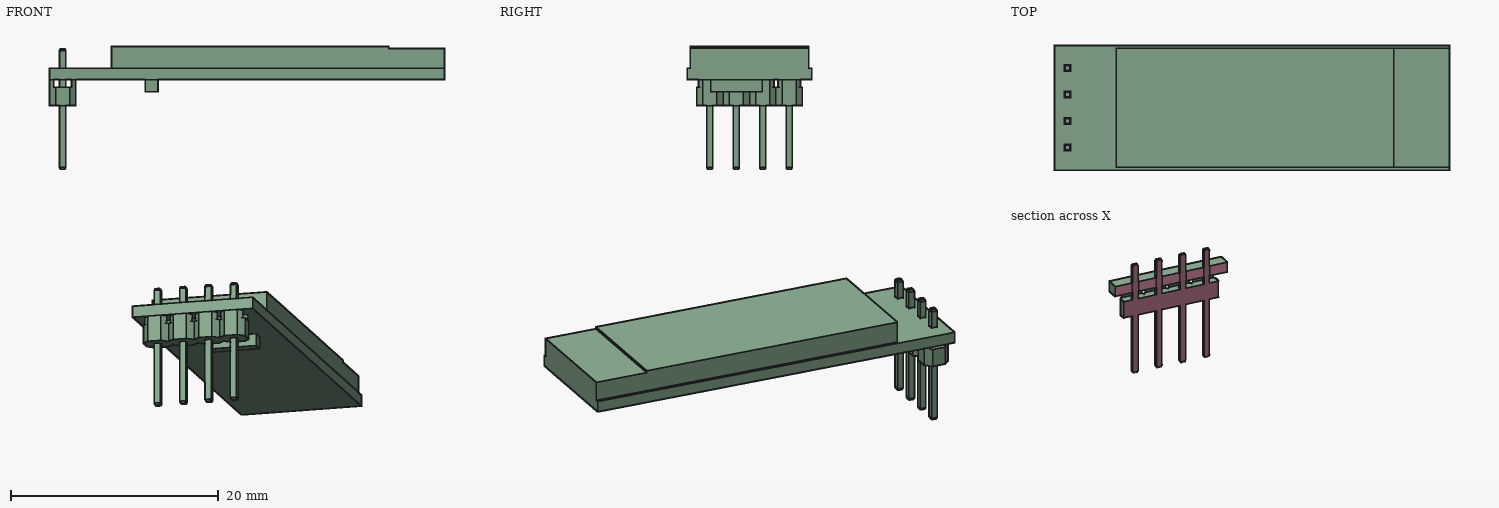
import cadquery as cq


BOARD_LENGTH = 38.0
BOARD_WIDTH = 12.0
BOARD_THICKNESS = 1.1

DISPLAY_START_X = 5.95
DISPLAY_STEP_X = 32.65
DISPLAY_WIDTH = 11.45
DISPLAY_HEIGHT = 2.1
DISPLAY_STEP_DEPTH = 0.2

COMPONENT_START_X = 9.2
COMPONENT_LENGTH = 1.25
COMPONENT_WIDTH = 4.95
COMPONENT_CENTER_Y = -1.25
COMPONENT_HEIGHT = 1.18

PIN_COUNT = 4
PITCH = 2.55
CELL_CORNER_CUT = 0.6
HEADER_HEIGHT = 2.5
CHANNEL_WIDTH = 1.67
CHANNEL_DEPTH = 0.72
HEADER_CENTER_X = PITCH / 2

PIN_SIDE = 0.6
PIN_TIP_TAPER = 0.095
PIN_TIP_LENGTH = 0.2
PIN_TOP_BELOW_DISPLAY = 0.23
TOTAL_HEIGHT = 11.8
DISPLAY_TOP_Z = BOARD_THICKNESS + DISPLAY_HEIGHT
PIN_TOP_Z = DISPLAY_TOP_Z - PIN_TOP_BELOW_DISPLAY
PIN_BOTTOM_Z = DISPLAY_TOP_Z - TOTAL_HEIGHT

PIN_YS = [(i - (PIN_COUNT - 1) / 2) * PITCH for i in range(PIN_COUNT)]


def block(x_start, length, y_center, width, z_start, height):
    """Box that starts at x_start and z_start and is centred on y_center."""
    return (
        cq.Workplane("XY", origin=(x_start, y_center, z_start))
        .box(length, width, height, centered=(False, True, False))
    )


def pin_shaft(y, z_start, height):
    """Straight length of one square pin, also the shape of the hole that it fills."""
    return block(HEADER_CENTER_X - PIN_SIDE / 2, PIN_SIDE, y, PIN_SIDE, z_start, height)


def pin_tip(y, z_start, height):
    """Tapered pin end; a negative height points it downward."""
    end_side = PIN_SIDE - 2 * PIN_TIP_TAPER
    return (
        cq.Workplane("XY", origin=(HEADER_CENTER_X, y, z_start))
        .rect(PIN_SIDE, PIN_SIDE)
        .workplane(offset=height)
        .rect(end_side, end_side)
        .loft(ruled=True)
    )


def make_pin(y):
    """Square pin with tapered tips at both ends."""
    shaft_bottom = PIN_BOTTOM_Z + PIN_TIP_LENGTH
    shaft_top = PIN_TOP_Z - PIN_TIP_LENGTH
    shaft = pin_shaft(y, shaft_bottom, shaft_top - shaft_bottom)
    return shaft.union(pin_tip(y, shaft_top, PIN_TIP_LENGTH)).union(pin_tip(y, shaft_bottom, -PIN_TIP_LENGTH))


def make_cell(y):
    """Octagonal housing cell around one pin."""
    cell = block(HEADER_CENTER_X - PITCH / 2, PITCH, y, PITCH, -HEADER_HEIGHT, HEADER_HEIGHT)
    return cell.edges("|Z").chamfer(CELL_CORNER_CUT)


def make_header():
    """Row of cells with a channel along the top that leaves a foot on each side, plus the pins."""
    row_length = PIN_COUNT * PITCH
    header = make_cell(PIN_YS[0])
    for y in PIN_YS[1:]:
        header = header.union(make_cell(y))
    channel = block(
        HEADER_CENTER_X - CHANNEL_WIDTH / 2, CHANNEL_WIDTH, 0, row_length, -CHANNEL_DEPTH, CHANNEL_DEPTH
    )
    header = header.cut(channel)
    for y in PIN_YS:
        header = header.union(make_pin(y))
    return header


def make_display_board():
    """Board with the stepped display on top, the component below and a hole for each pin."""
    board = block(0, BOARD_LENGTH, 0, BOARD_WIDTH, 0, BOARD_THICKNESS)
    display = block(
        DISPLAY_START_X, DISPLAY_STEP_X - DISPLAY_START_X, 0, DISPLAY_WIDTH, BOARD_THICKNESS, DISPLAY_HEIGHT
    )
    ledge = block(
        DISPLAY_STEP_X,
        BOARD_LENGTH - DISPLAY_STEP_X,
        0,
        DISPLAY_WIDTH,
        BOARD_THICKNESS,
        DISPLAY_HEIGHT - DISPLAY_STEP_DEPTH,
    )
    component = block(
        COMPONENT_START_X,
        COMPONENT_LENGTH,
        COMPONENT_CENTER_Y,
        COMPONENT_WIDTH,
        -COMPONENT_HEIGHT,
        COMPONENT_HEIGHT,
    )
    board = board.union(display).union(ledge).union(component)
    for y in PIN_YS:
        board = board.cut(pin_shaft(y, 0, BOARD_THICKNESS))
    return board


display_board = make_display_board()
header = make_header()

result = cq.Compound.makeCompound([display_board.solids().val(), header.solids().val()])